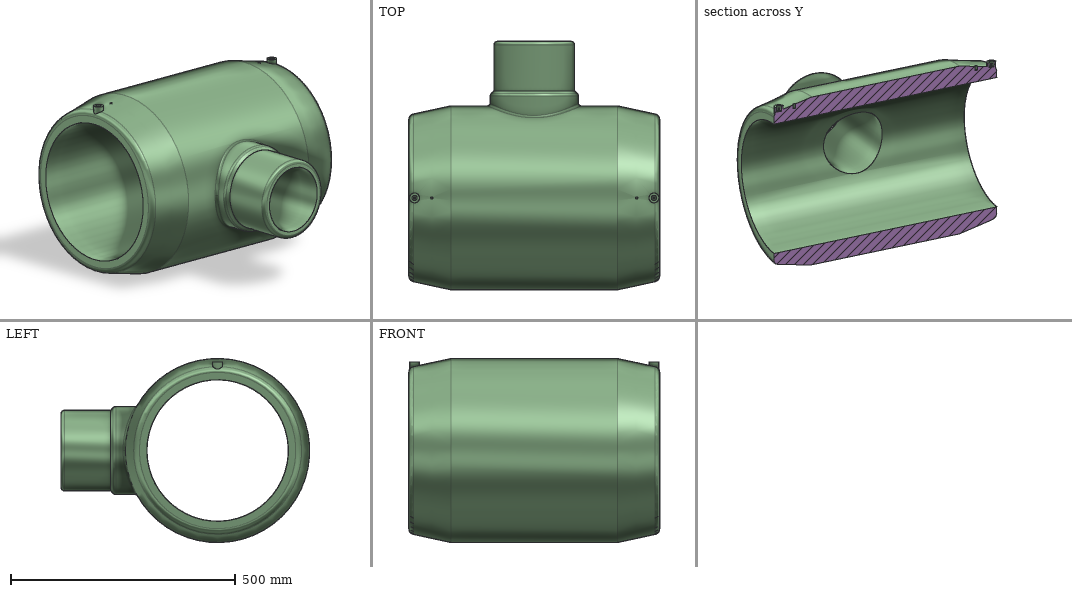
import cadquery as cq
import math

body_length = 560.0
body_diameter = 411.0
body_bore_diameter = 315.0
straight_length = 371.0
end_corner_radius = 185.0
end_round_radius = 13.0

branch_reach = 349.5
branch_diameter = 180.0
branch_bore_diameter = 147.2
branch_end_round_radius = 8.0
collar_diameter = 197.0
collar_reach = 239.0
collar_round_radius = 8.0
branch_root_radius = 5.5

terminal_diameter = 22.0
terminal_socket_diameter = 11.5
terminal_pin_diameter = 4.0
terminal_top = 198.0
terminal_base = 170.0
terminal_socket_depth = 12.0
terminal_pin_length = 8.0
terminal_offset = 267.0
indicator_diameter = 5.0
indicator_depth = 10.0
indicator_offset = 228.5

body_radius = body_diameter / 2
half_length = body_length / 2
half_straight = straight_length / 2

selection_slack = 1.0


def vertical_cylinder(x, bottom, top, diameter):
    """Cylinder along Z between two heights, on the X axis at the given x."""
    return cq.Workplane("XY", origin=(x, 0, bottom)).circle(diameter / 2).extrude(top - bottom)


def branch_cylinder(diameter, reach):
    """Cylinder along +Y from the main axis out to the given reach."""
    return cq.Workplane("XZ").circle(diameter / 2).extrude(-reach)


def make_body():
    """Solid barrel: a straight middle with tapered, rounded ends."""
    barrel = (
        cq.Workplane("XY")
        .moveTo(-half_length, 0)
        .lineTo(-half_length, end_corner_radius)
        .lineTo(-half_straight, body_radius)
        .lineTo(half_straight, body_radius)
        .lineTo(half_length, end_corner_radius)
        .lineTo(half_length, 0)
        .close()
        .revolve(360, (0, 0, 0), (1, 0, 0))
    )
    return barrel.faces("<X or >X").edges().fillet(end_round_radius)


def within_reach(near, far):
    """Selector for edges around the branch lying wholly between two reaches along Y."""
    return cq.selectors.BoxSelector(
        (-collar_diameter, near - selection_slack, -collar_diameter),
        (collar_diameter, far + selection_slack, collar_diameter),
        boundingbox=True,
    )


def make_collar():
    """Collar whose 45 degree shoulder drops to the spigot, blended into its side."""
    shoulder = (collar_diameter - branch_diameter) / 2
    collar = branch_cylinder(collar_diameter, collar_reach).faces(">Y").chamfer(shoulder)
    shoulder_foot = collar_reach - shoulder
    return collar.edges(within_reach(shoulder_foot, shoulder_foot)).fillet(collar_round_radius)


def add_branch(body):
    """Join the collar with a rounded root, then the spigot with its rounded end."""
    joined = body.union(make_collar())
    root_lowest_reach = math.sqrt(body_radius**2 - (collar_diameter / 2) ** 2)
    joined = joined.edges(within_reach(root_lowest_reach, body_radius)).fillet(branch_root_radius)
    spigot = branch_cylinder(branch_diameter, branch_reach)
    spigot = spigot.faces(">Y").edges().fillet(branch_end_round_radius)
    return joined.union(spigot)


def cut_bores(body):
    """Bore the main pipe through and open the branch into it."""
    bore_start = cq.Workplane("YZ", origin=(-half_length, 0, 0))
    main_bore = bore_start.circle(body_bore_diameter / 2).extrude(body_length)
    branch_bore = branch_cylinder(branch_bore_diameter, branch_reach)
    return body.cut(main_bore).cut(branch_bore)


def add_terminal(body, x):
    """Upright terminal sleeve with a contact pin standing in its socket."""
    socket_floor = terminal_top - terminal_socket_depth
    sleeve = vertical_cylinder(x, terminal_base, terminal_top, terminal_diameter)
    socket = vertical_cylinder(x, socket_floor, terminal_top, terminal_socket_diameter)
    pin = vertical_cylinder(x, terminal_base, socket_floor + terminal_pin_length, terminal_pin_diameter)
    return body.union(sleeve).cut(socket).union(pin)


def cut_indicator(body, x):
    """Small blind hole in the taper beside a terminal."""
    taper = (body_radius - end_corner_radius) / (half_length - half_straight)
    surface = body_radius - taper * (abs(x) - half_straight)
    return body.cut(vertical_cylinder(x, surface - indicator_depth, body_radius, indicator_diameter))


result = cut_bores(add_branch(make_body()))
for side in (-1, 1):
    result = add_terminal(result, side * terminal_offset)
    result = cut_indicator(result, side * indicator_offset)